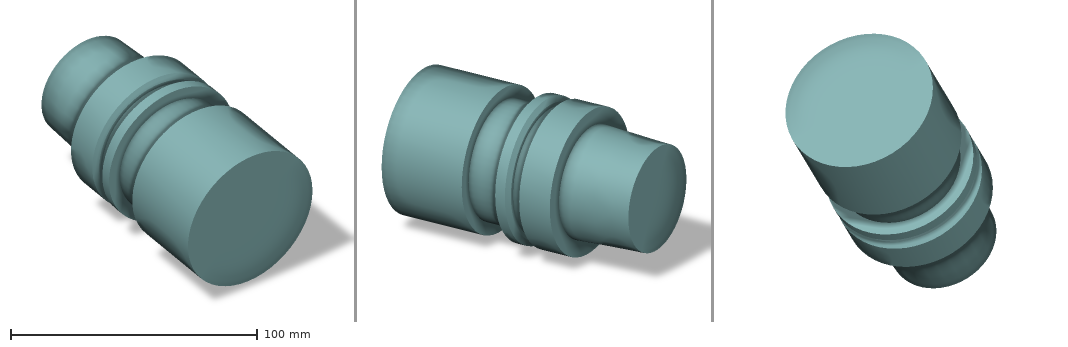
import cadquery as cq

total_length = 112.0
taper_length = 32.0
flange_length = 26.0
neck_length = 15.9

body_diameter = 63.0
neck_diameter = 52.0
taper_large_diameter = 48.6
taper_small_diameter = 45.5

front_collar_length = 14.6
rear_collar_length = 4.6
bevel_length = 1.5
bevel_depth = 2.4
groove_depth = 4.0

flange_start = taper_length
flange_end = flange_start + flange_length
body_start = flange_end + neck_length
groove_start = flange_start + front_collar_length
groove_end = flange_end - rear_collar_length

body_radius = body_diameter / 2
neck_radius = neck_diameter / 2
bevel_radius = body_radius - bevel_depth
groove_radius = body_radius - groove_depth


def revolve_about_x(points):
    """Revolve a closed (station, radius) outline around the X axis."""
    outline = cq.Workplane("XY").polyline(points).close()
    return outline.revolve(360, (0, 0, 0), (1, 0, 0))


result = revolve_about_x([
    (0, 0),
    (0, taper_small_diameter / 2),
    (flange_start, taper_large_diameter / 2),
    (flange_start, body_radius),
    (groove_start, body_radius),
    (groove_start + bevel_length, bevel_radius),
    (groove_start + bevel_length, groove_radius),
    (groove_end - bevel_length, groove_radius),
    (groove_end - bevel_length, bevel_radius),
    (groove_end, body_radius),
    (flange_end, body_radius),
    (flange_end, neck_radius),
    (body_start, neck_radius),
    (body_start, body_radius),
    (total_length, body_radius),
    (total_length, 0),
])